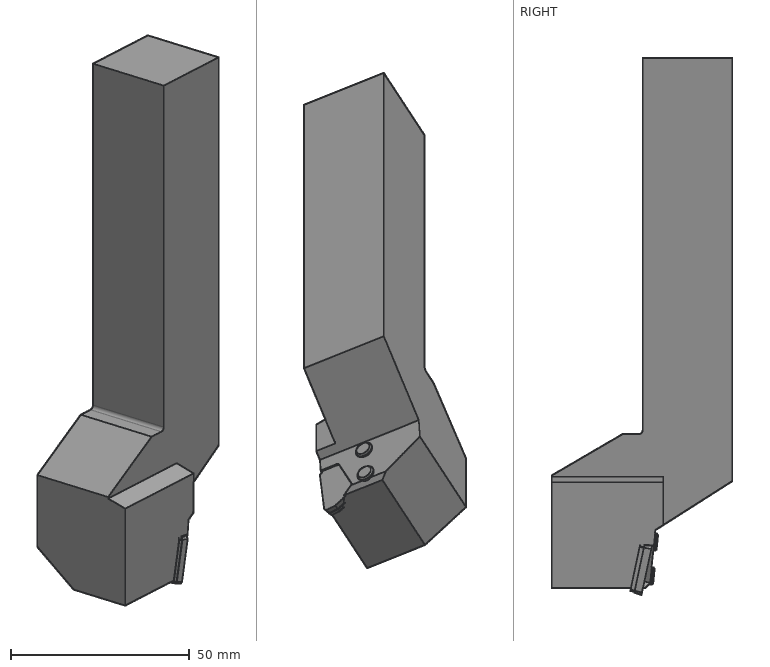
import cadquery as cq
import math


overall_height = 150.4
overall_depth = 50.5
shank_size = 25.1
shank_front_y = overall_depth - shank_size
shoulder_z = 45.1
shoulder_fillet = 1.0
shoulder_end_y = 19.9
head_front_top_z = 33.5
head_bottom_z = 2.0
rear_slope_top_z = 31.9
face_top = (29.0, 18.2)
face_bottom = (27.5, 3.3)
nose_bottom_y = 26.2

head_width = 31.1
extension_depth = 31.3
extension_inner_z = 33.1
extension_outer_z = 31.6

corner_cut_width = 13.0
corner_cut_top_z = 11.6

boss_diameter = 5.0
boss_height = 0.9
boss_root = 0.8
boss_chamfer = 0.5
boss_x = 17.3
boss_heights_z = (14.9, 5.4)

seat_tilt = 12.0
insert_tip_y = 25.1
insert_thickness = 2.1
insert_relief = 7.0
shim_thickness = 1.2
shim_inset = 0.5
pocket_clearance = 6.0
insert_outline = [
    (31.7, 0.8),
    (31.3, 0.0),
    (28.3, 0.3),
    (21.8, 3.9),
    (25.5, 14.3),
    (31.0, 14.3),
    (31.7, 13.2),
]


def inclined_plane(y, z, tilt, outward):
    """Plane facing +Y and leaning downward by tilt degrees, or facing back into the head."""
    sign = 1 if outward else -1
    angle = math.radians(tilt)
    normal = (0, sign * math.cos(angle), -sign * math.sin(angle))
    return cq.Plane(origin=(0, y, z), xDir=(1, 0, 0), normal=normal)


def make_shank():
    """Cranked side profile, as wide as the shank."""
    profile = [
        (overall_depth, overall_height),
        (shank_front_y, overall_height),
        (shank_front_y, shoulder_z),
        (shoulder_end_y, shoulder_z),
        (0, head_front_top_z),
        (0, head_bottom_z),
        (nose_bottom_y, head_bottom_z),
        face_bottom,
        face_top,
        (overall_depth, rear_slope_top_z),
    ]
    shank = cq.Workplane("YZ").polyline(profile).close().extrude(shank_size)
    inner_corner = cq.selectors.NearestToPointSelector((shank_size / 2, shank_front_y, shoulder_z))
    return shank.edges(inner_corner).fillet(shoulder_fillet)


def make_extension():
    """Block widening the head, with a sloped top and the head's tool face."""
    rear_slope = (rear_slope_top_z - face_top[1]) / (overall_depth - face_top[0])
    back_z = face_top[1] + (extension_depth - face_top[0]) * rear_slope
    side_profile = [
        (0, head_bottom_z),
        (nose_bottom_y, head_bottom_z),
        face_bottom,
        face_top,
        (extension_depth, back_z),
        (extension_depth, extension_inner_z),
        (0, extension_inner_z),
    ]
    front_profile = [
        (0, 0),
        (head_width, 0),
        (head_width, extension_outer_z),
        (shank_size, extension_inner_z),
        (0, extension_inner_z),
    ]
    block = cq.Workplane("YZ", origin=(shank_size, 0, 0)).polyline(side_profile).close()
    block = block.extrude(head_width - shank_size)
    envelope = cq.Workplane("XZ").polyline(front_profile).close().extrude(-extension_depth)
    return block.intersect(envelope)


def make_corner_cut():
    """Wedge that removes the lower -X corner of the head."""
    triangle = [(0, head_bottom_z), (corner_cut_width, head_bottom_z), (0, corner_cut_top_z)]
    return cq.Workplane("XZ").polyline(triangle).close().extrude(-overall_depth)


def make_boss(z):
    """Chamfered round boss standing square on the tool face at height z."""
    lean = (face_top[0] - face_bottom[0]) / (face_top[1] - face_bottom[1])
    y = face_bottom[0] + (z - face_bottom[1]) * lean
    plane = inclined_plane(y, z, math.degrees(math.atan(lean)), outward=True)
    boss = cq.Workplane(plane).workplane(offset=-boss_root).center(boss_x, 0)
    boss = boss.circle(boss_diameter / 2).extrude(boss_root + boss_height)
    return boss.faces(">Y").chamfer(boss_chamfer)


def insert_sketch(depth):
    """Insert outline parallel to its tilted rake face, extruding into the head."""
    plane = inclined_plane(insert_tip_y, 0, seat_tilt, outward=False)
    return cq.Workplane(plane).workplane(offset=depth).polyline(insert_outline).close()


def make_insert():
    return insert_sketch(0).extrude(insert_thickness, taper=insert_relief)


def make_shim():
    """Plate with the inset insert outline, lying against the back of the insert."""
    return insert_sketch(insert_thickness).offset2D(-shim_inset).extrude(shim_thickness)


def make_holder(insert, shim):
    """One-piece holder with a recess fitting the insert and the shim."""
    holder = make_shank().union(make_extension()).cut(make_corner_cut())
    for z in boss_heights_z:
        holder = holder.union(make_boss(z))
    open_space = insert_sketch(0).extrude(-pocket_clearance)
    return holder.cut(open_space).cut(insert).cut(shim)


insert = make_insert()
shim = make_shim()
holder = make_holder(insert, shim)

result = cq.Compound.makeCompound([holder.val(), insert.val(), shim.val()])